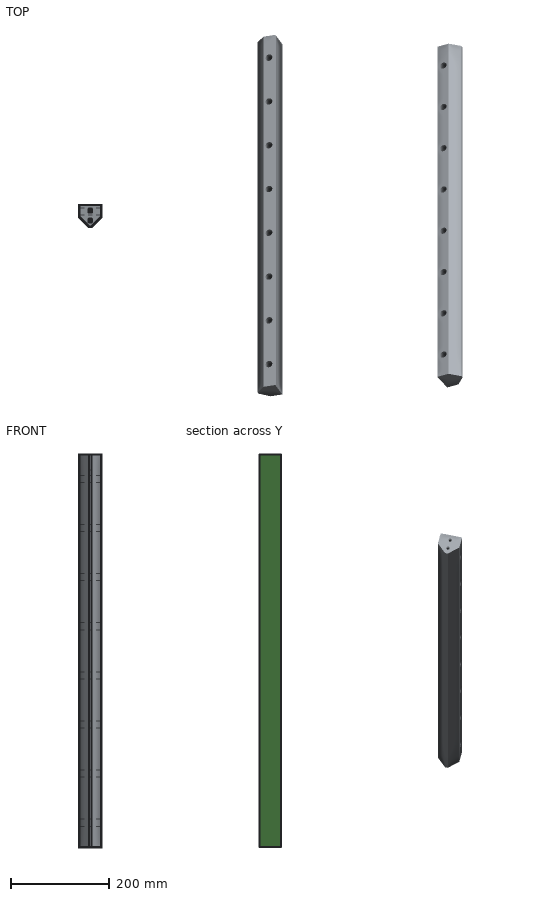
import cadquery as cq

length = 800.0
width = 45.0
depth = 45.0
nose_width = 6.0
bevel_depth = (width - nose_width) / 2
flank_edge_chamfer = 0.2

cross_hole_count = 8
cross_hole_diameter = 14.0
cross_hole_pitch = length / cross_hole_count
cross_hole_from_back = 14.0

end_hole_diameter = 5.0
end_hole_rim_diameter = 8.0
end_hole_countersink = (end_hole_rim_diameter - end_hole_diameter) / 2
end_hole_depth = 32.0
end_hole_from_back = 12.0
end_hole_spacing = 20.0

side_x = width / 2
back_y = depth / 2
nose_y = -depth / 2
bevel_y = nose_y + bevel_depth
top_z = length / 2


def make_bar():
    """Bar standing along Z, centred on the origin, with its nose toward -Y."""
    outline = [
        (-side_x, back_y),
        (-side_x, bevel_y),
        (-nose_width / 2, nose_y),
        (nose_width / 2, nose_y),
        (side_x, bevel_y),
        (side_x, back_y),
    ]
    bar = cq.Workplane("XY").workplane(offset=-top_z).polyline(outline).close().extrude(length)
    return bar.faces("<X or >X").edges().chamfer(flank_edge_chamfer)


def make_cross_holes():
    """Evenly spaced cylinders along Z that run right through the bar in X."""
    return (
        cq.Workplane("YZ")
        .center(back_y - cross_hole_from_back, 0)
        .rarray(8, cross_hole_pitch, 1, cross_hole_count)
        .circle(cross_hole_diameter / 2)
        .extrude(side_x, both=True)
    )


def make_end_holes():
    """Two cylinders sunk from the top end, each flared at 45 degrees at the mouth."""
    first_y = back_y - end_hole_from_back
    centres = [(0, first_y), (0, first_y - end_hole_spacing)]
    top_end = cq.Workplane("XY").workplane(offset=top_z).pushPoints(centres)
    shafts = top_end.circle(end_hole_diameter / 2).extrude(-end_hole_depth)
    mouths = top_end.circle(end_hole_rim_diameter / 2).extrude(-end_hole_countersink, taper=45)
    return shafts.union(mouths)


result = make_bar().cut(make_cross_holes()).cut(make_end_holes())